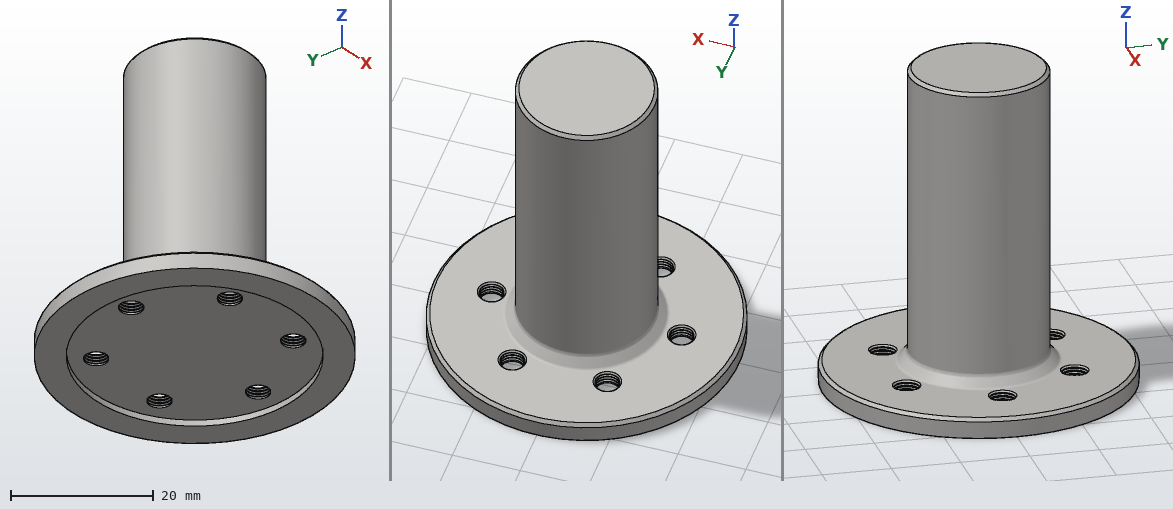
import cadquery as cq

flange_diameter = 45.0
flange_thickness = 3.0

recess_diameter = 36.0
recess_depth = 1.0

post_diameter = 20.0
total_height = 47.0

edge_chamfer = 0.5

collar_size = 1.5
collar_blend_radius = 0.7
selection_margin = 0.1

hole_count = 6
hole_circle_diameter = 28.0
crest_diameter = 3.53
root_diameter = 4.0

thread_pitch = 0.5
groove_count = 3
groove_width = thread_pitch * 3 / 4
groove_floor = thread_pitch / 8
mouth_depth = thread_pitch / 2


def turned_body():
    """Flange, recess, collar and post as one revolved profile."""
    flange_radius = flange_diameter / 2
    recess_radius = recess_diameter / 2
    post_radius = post_diameter / 2
    profile = (
        cq.Workplane("XZ")
        .moveTo(0, recess_depth)
        .lineTo(recess_radius, recess_depth)
        .lineTo(recess_radius, 0)
        .lineTo(flange_radius, 0)
        .lineTo(flange_radius, flange_thickness - edge_chamfer)
        .lineTo(flange_radius - edge_chamfer, flange_thickness)
        .lineTo(post_radius + collar_size, flange_thickness)
        .lineTo(post_radius, flange_thickness + collar_size)
        .lineTo(post_radius, total_height - edge_chamfer)
        .lineTo(post_radius - edge_chamfer, total_height)
        .lineTo(0, total_height)
        .close()
    )
    return profile.revolve(360, (0, 0, 0), (0, 1, 0))


def blend_collar(body):
    """Round the upper and lower edges of the collar cone."""
    reach = post_diameter / 2 + collar_size + selection_margin
    collar_box = cq.selectors.BoxSelector(
        (-reach, -reach, flange_thickness - selection_margin),
        (reach, reach, flange_thickness + collar_size + selection_margin),
        boundingbox=True,
    )
    return body.edges(collar_box).edges("%CIRCLE").fillet(collar_blend_radius)


def hole_cutter():
    """Through hole with a countersunk mouth and thread-like ring grooves in its wall."""
    crest_radius = crest_diameter / 2
    root_radius = root_diameter / 2
    profile = (
        cq.Workplane("XZ")
        .moveTo(0, flange_thickness)
        .lineTo(root_radius, flange_thickness)
        .lineTo(crest_radius, flange_thickness - mouth_depth)
    )
    for turn in range(1, groove_count + 1):
        height = flange_thickness - turn * thread_pitch
        profile = (
            profile.lineTo(crest_radius, height + groove_width / 2)
            .lineTo(root_radius, height + groove_floor / 2)
            .lineTo(root_radius, height - groove_floor / 2)
            .lineTo(crest_radius, height - groove_width / 2)
        )
    profile = profile.lineTo(crest_radius, recess_depth).lineTo(0, recess_depth).close()
    return profile.revolve(360, (0, 0, 0), (0, 1, 0))


def hole_ring():
    """Hole cutters spaced evenly around the post."""
    cutter = hole_cutter().val()
    return (
        cq.Workplane("XY")
        .polarArray(hole_circle_diameter / 2, 0, 360, hole_count)
        .eachpoint(lambda place: cutter.moved(place))
    )


result = blend_collar(turned_body()).cut(hole_ring())